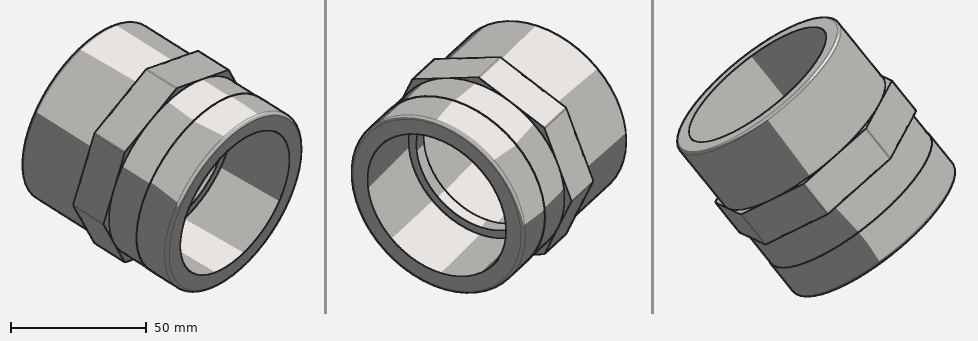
import cadquery as cq
import math

total_length = 71.9
body_diameter = 75.0
collar_diameter = 75.4
collar_length = 15.0
sleeve_end_radius = 1.0
collar_end_radius = 1.2

band_start = 28.3
band_width = 15.0
band_corner_diameter = 81.1
band_sides = 8
band_across_flats = body_diameter

corner_stretch = 1 / math.cos(math.pi / band_sides)
sharp_corner_diameter = band_across_flats * corner_stretch
corner_radius = (sharp_corner_diameter - band_corner_diameter) / 2 / (corner_stretch - 1)

passage_diameter = 53.6
left_socket_diameter = 63.0
left_socket_depth = 38.5
right_socket_diameter = 60.3
right_socket_depth = 28.3


def cylinder(start, length, diameter):
    """Solid cylinder along +X, beginning at x = start."""
    return cq.Workplane("YZ", origin=(start, 0, 0)).circle(diameter / 2).extrude(length)


collar_start = total_length - collar_length
sleeve = cylinder(0, collar_start, body_diameter).faces("<X").edges().fillet(sleeve_end_radius)
collar = cylinder(collar_start, collar_length, collar_diameter)
collar = collar.faces(">X").edges().fillet(collar_end_radius)

band = (
    cq.Workplane("YZ", origin=(band_start, 0, 0))
    .polygon(band_sides, sharp_corner_diameter)
    .extrude(band_width)
    .edges("|X")
    .fillet(corner_radius)
)

passage = cylinder(0, total_length, passage_diameter)
left_socket = cylinder(0, left_socket_depth, left_socket_diameter)
right_socket = cylinder(total_length - right_socket_depth, right_socket_depth, right_socket_diameter)

result = sleeve.union(collar).union(band).cut(passage).cut(left_socket).cut(right_socket)